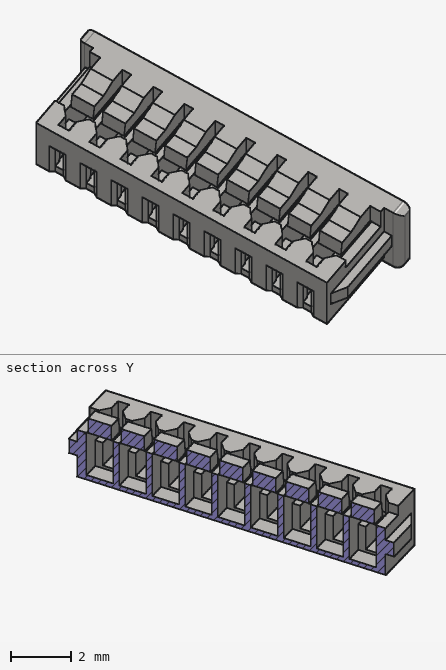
import cadquery as cq

WIDTH = 13.0
DEPTH = 3.95
HEIGHT = 3.2

CONTACTS = 9
PITCH = 1.25
CONTACT_XS = [(i - (CONTACTS - 1) / 2) * PITCH for i in range(CONTACTS)]

FLANGE_DEPTH = 0.6
FLANGE_RADIUS = 0.29

BODY_WIDTH = 11.73
BODY_BOTTOM = 0.44
NOSE_TOP = 2.74
RECESS_FLOOR = 2.37
RECESS_BACK = 0.79
RECESS_FRONT = 2.83

TONGUE_WIDTH = 0.9
TONGUE_RAMP_START = 1.35
TONGUE_RAMP_END = 1.91
TONGUE_TIP_TOP = 2.45
TONGUE_TIP_BOTTOM = 2.52
TONGUE_LOW_Z = 2.98

CAVITY_WIDTH = 1.0
POCKET_DEPTH = 2.56
POCKET_FLOOR = 0.65
CHAMBER_FLOOR = 1.69
CHANNEL_WIDTH = 0.42
CHANNEL_FLOOR = 0.77
NECK_START = 3.17
FRONT_WALL = 0.35

WINDOW_WIDTH = 0.32
WINDOW_TOP = CHAMBER_FLOOR
WINDOW_FLARE = 0.17
FLARE_DEPTH = 0.1

RIB_REACH = 0.31
RIB_BOTTOM = 1.3
RIB_TOP = 1.88
RIB_TAPER_START = 3.17
RIB_TIP = 3.72

BUMP_WIDTH = 0.92
BUMP_X = (CONTACTS - 2) / 2 * PITCH
BUMP_BACK = 2.54
BUMP_PEAK = 2.81
BUMP_FRONT = 3.56
BUMP_HEIGHT = 0.27
BUMP_PEAK_RADIUS = 0.2


def block(width, rear, front, bottom, top, x=0.0):
    """Box centred on x, between two distances from the rear face and two heights."""
    corner = (x - width / 2, -front, bottom)
    return cq.Workplane("XY").box(width, front - rear, top - bottom, centered=False).translate(corner)


def side_profile(points, width, x=0.0):
    """Extrude (distance from rear, height) points across a width centred on x."""
    outline = [(-rear, z) for rear, z in points]
    return cq.Workplane("YZ", origin=(x, 0, 0)).polyline(outline).close().extrude(width / 2, both=True)


def plan_profile(points, bottom, top, x=0.0):
    """Extrude (offset from x, distance from rear) points between two heights."""
    outline = [(x + offset, -rear) for offset, rear in points]
    return cq.Workplane("XY", origin=(0, 0, bottom)).polyline(outline).close().extrude(top - bottom)


def make_flange():
    """Plate rounded on its ends, bottom and front rim, with a sharp top front edge."""
    plate = block(WIDTH, 0, FLANGE_DEPTH, 0, HEIGHT)
    rounded = plate.edges("(|Y and <Z) or (<Y and (not >Z))").fillet(FLANGE_RADIUS)
    top_corners = plate.edges("|Y and >Z").fillet(FLANGE_RADIUS)
    return rounded.intersect(top_corners)


def make_body():
    """Housing with a top recess between the rear wall and the nose."""
    return side_profile(
        [
            (0, BODY_BOTTOM),
            (DEPTH, BODY_BOTTOM),
            (DEPTH, NOSE_TOP),
            (RECESS_FRONT, NOSE_TOP),
            (RECESS_FRONT, RECESS_FLOOR),
            (RECESS_BACK, RECESS_FLOOR),
            (RECESS_BACK, HEIGHT),
            (0, HEIGHT),
        ],
        BODY_WIDTH,
    )


def make_tongue(x):
    """Cantilever latch reaching forward from the rear wall over a cavity."""
    return side_profile(
        [
            (FLANGE_DEPTH, RECESS_FLOOR),
            (TONGUE_TIP_BOTTOM, RECESS_FLOOR),
            (TONGUE_TIP_TOP, TONGUE_LOW_Z),
            (TONGUE_RAMP_END, TONGUE_LOW_Z),
            (TONGUE_RAMP_START, HEIGHT),
            (FLANGE_DEPTH, HEIGHT),
        ],
        TONGUE_WIDTH,
        x,
    )


def make_cavity(x):
    """Contact cavity: a deep rear pocket, then a necked chamber over a narrow channel."""
    half = CAVITY_WIDTH / 2
    neck = CHANNEL_WIDTH / 2
    channel_end = DEPTH - FRONT_WALL
    right_side = [(half, POCKET_DEPTH), (half, RECESS_FRONT), (neck, NECK_START), (neck, channel_end)]
    left_side = [(-offset, rear) for offset, rear in reversed(right_side)]

    pocket = block(CAVITY_WIDTH, 0, POCKET_DEPTH, POCKET_FLOOR, RECESS_FLOOR, x)
    channel = block(CHANNEL_WIDTH, POCKET_DEPTH, channel_end, CHANNEL_FLOOR, CHAMBER_FLOOR, x)
    chamber = plan_profile(right_side + left_side, CHAMBER_FLOOR, HEIGHT, x)
    return pocket.union(channel).union(chamber)


def make_window(x):
    """Flared entry slot in the mating face, its flare open through the bottom."""
    slot = block(WINDOW_WIDTH, DEPTH - FRONT_WALL, DEPTH, CHANNEL_FLOOR, WINDOW_TOP, x)
    flare = (
        cq.Workplane("XZ", origin=(x, -DEPTH, 0))
        .rect(WINDOW_WIDTH + 2 * WINDOW_FLARE, 2 * (WINDOW_TOP + WINDOW_FLARE))
        .workplane(offset=-FLARE_DEPTH)
        .rect(WINDOW_WIDTH, 2 * WINDOW_TOP)
        .loft(ruled=True)
    )
    return slot.union(flare)


def make_ribs():
    """Guide ribs on both ends, tapering into the body near the mating face."""
    body_half = BODY_WIDTH / 2
    reach = body_half + RIB_REACH
    right = [(0, FLANGE_RADIUS), (reach, FLANGE_RADIUS), (reach, RIB_TAPER_START), (body_half, RIB_TIP)]
    left = [(-offset, rear) for offset, rear in reversed(right[1:])]
    return plan_profile(right + left, RIB_BOTTOM, RIB_TOP)


def make_bump(x):
    """Locking bump under the body, with two slopes meeting in a rounded peak."""
    wedge = side_profile(
        [
            (BUMP_BACK, BODY_BOTTOM),
            (BUMP_PEAK, BODY_BOTTOM - BUMP_HEIGHT),
            (BUMP_FRONT, BODY_BOTTOM),
        ],
        BUMP_WIDTH,
        x,
    )
    return wedge.edges("|X and <Z").fillet(BUMP_PEAK_RADIUS)


result = make_flange().union(make_body()).union(make_ribs())

for bump_x in (-BUMP_X, BUMP_X):
    result = result.union(make_bump(bump_x))

for contact_x in CONTACT_XS:
    result = result.cut(make_cavity(contact_x)).union(make_tongue(contact_x))
    result = result.cut(make_window(contact_x))